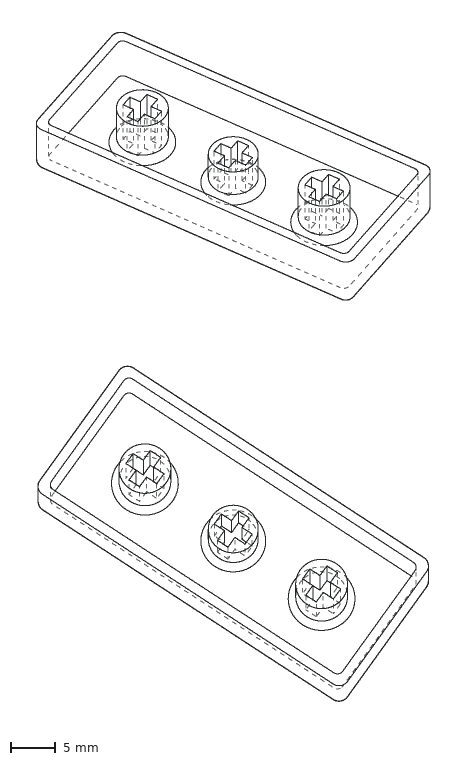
import cadquery as cq

length = 41.85
width = 18.05
height = 6.7
wall = 1.15
floor_thickness = 1.17
outer_radius = 1.17
inner_radius = 0.7
bottom_radius = 1.15

stem_spacing = 12.0
middle_stem_diameter = 5.6
end_stem_diameter = 5.8
middle_stem_recess = 1.15
end_stem_recess = 0.13
flare = 0.85
cross_span = 4.2
cross_arm_width = 1.42


def make_tray():
    """Open tray with rounded vertical corners and a rounded bottom edge."""
    body = cq.Workplane("XY").box(length, width, height, centered=(True, True, False))
    body = body.edges("|Z").fillet(outer_radius)
    body = body.faces("<Z").edges().fillet(bottom_radius)
    cavity = (
        cq.Workplane("XY")
        .workplane(offset=floor_thickness)
        .rect(length - 2 * wall, width - 2 * wall)
        .extrude(height - floor_thickness)
        .edges("|Z")
        .fillet(inner_radius)
    )
    return body.cut(cavity)


def make_stem(x, diameter, top):
    """Round stem with a conical foot, rising from the floor."""
    radius = diameter / 2
    profile = [
        (0, floor_thickness),
        (radius + flare, floor_thickness),
        (radius, floor_thickness + flare),
        (radius, top),
        (0, top),
    ]
    stem = cq.Workplane("XZ").polyline(profile).close().revolve(360, (0, 0, 0), (0, 1, 0))
    return stem.translate((x, 0, 0))


def make_cross_socket(x, top):
    """Cross-shaped socket running from the stem top down to the floor."""
    depth = top - floor_thickness
    base = cq.Workplane("XY").workplane(offset=floor_thickness).center(x, 0)
    along_x = base.rect(cross_span, cross_arm_width).extrude(depth)
    along_y = base.rect(cross_arm_width, cross_span).extrude(depth)
    return along_x.union(along_y)


stems = [
    (-stem_spacing, end_stem_diameter, height - end_stem_recess),
    (0, middle_stem_diameter, height - middle_stem_recess),
    (stem_spacing, end_stem_diameter, height - end_stem_recess),
]

result = make_tray()
for stem_x, stem_diameter, stem_top in stems:
    result = result.union(make_stem(stem_x, stem_diameter, stem_top))
    result = result.cut(make_cross_socket(stem_x, stem_top))